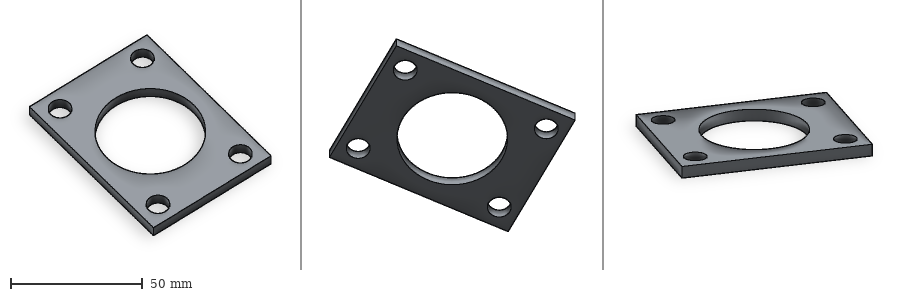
import cadquery as cq

length = 76.0
width = 57.0
thickness = 4.8

bore_diameter = 42.0
bolt_hole_diameter = 9.0
bolt_spacing_x = 60.0
bolt_spacing_y = 40.0

plate = cq.Workplane("XY").box(length, width, thickness)

plate = plate.faces(">Z").workplane().hole(bore_diameter)

result = (
    plate.faces(">Z")
    .workplane(origin=(0, 0, 0))
    .rect(bolt_spacing_x, bolt_spacing_y, forConstruction=True)
    .vertices()
    .hole(bolt_hole_diameter)
)